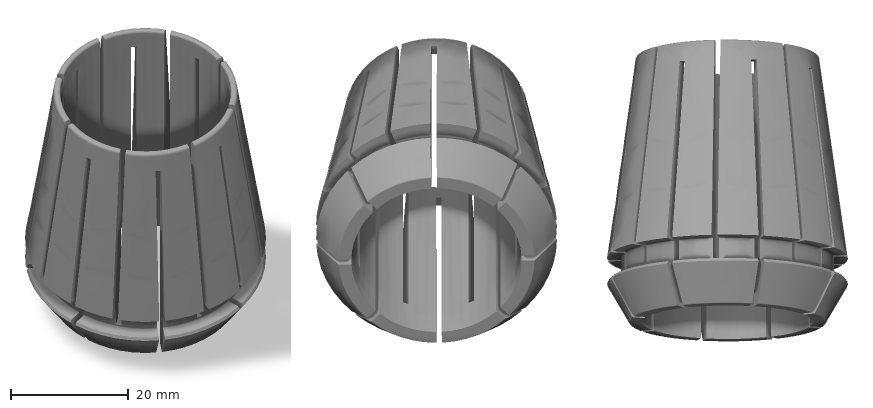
import cadquery as cq
import math

length = 46.0
bore_radius = 29.0 / 2
major_radius = 41.0 / 2

head_angle = 30.0
head_rim_z = 6.6
head_top_z = 7.1
head_top_radius = 20.2

neck_radius = 18.1
taper_start_z = 11.1

taper_angle = 8.0

outer_top_fillet = 0.5
inner_top_fillet = 0.4
groove_fillet = 0.2
head_bottom_fillet = 0.2
selection_gap = 0.01

slot_count = 8
slot_width = 1.0
lower_slot_end_z = 42.5
upper_slot_start_z = 7.55

def taper_radius(z):
    """Outside radius of the main taper at height z."""
    return major_radius - (z - taper_start_z) * math.tan(math.radians(taper_angle))

def round_edge(body, radius, z, fillet_radius):
    """Fillet the circular edge of the given radius at height z."""
    edge_box = cq.selectors.BoxSelector(
        (-selection_gap, -selection_gap, z - selection_gap),
        (selection_gap, selection_gap, z + selection_gap),
    )
    circles = body.edges("%CIRCLE").edges(edge_box)
    matching = circles.filter(lambda edge: abs(edge.radius() - radius) < selection_gap)
    return matching.fillet(fillet_radius)

def revolved_sleeve():
    """Slot-free sleeve, revolved about Z from its half section."""
    head_bottom_radius = major_radius - head_rim_z * math.tan(math.radians(head_angle))
    half_section = [
        (bore_radius, 0),
        (head_bottom_radius, 0),
        (major_radius, head_rim_z),
        (head_top_radius, head_top_z),
        (neck_radius, head_top_z),
        (neck_radius, taper_start_z),
        (major_radius, taper_start_z),
        (taper_radius(length), length),
        (bore_radius, length),
    ]
    sleeve = cq.Workplane("XZ").polyline(half_section).close().revolve(360, (0, 0), (0, 1))
    sleeve = round_edge(sleeve, taper_radius(length), length, outer_top_fillet)
    sleeve = round_edge(sleeve, bore_radius, length, inner_top_fillet)
    sleeve = round_edge(sleeve, neck_radius, taper_start_z, groove_fillet)
    sleeve = round_edge(sleeve, neck_radius, head_top_z, groove_fillet)
    return round_edge(sleeve, head_bottom_radius, 0, head_bottom_fillet)

def slot_cutters(bottom_z, top_z, first_angle):
    """Ring of radial saw-cut blades spanning the wall between two heights."""
    blade_length = 2 * major_radius
    blade = cq.Workplane("XY").box(
        blade_length, slot_width, top_z - bottom_z, centered=(False, True, False)
    ).translate((0, 0, bottom_z))
    cutters = cq.Workplane("XY")
    for i in range(slot_count):
        angle = first_angle + i * 360 / slot_count
        cutters = cutters.add(blade.rotate((0, 0, 0), (0, 0, 1), angle))
    return cutters.combine()

lower_slots = slot_cutters(0, lower_slot_end_z, 0)
upper_slots = slot_cutters(upper_slot_start_z, length, 180 / slot_count)

result = revolved_sleeve().cut(lower_slots).cut(upper_slots)